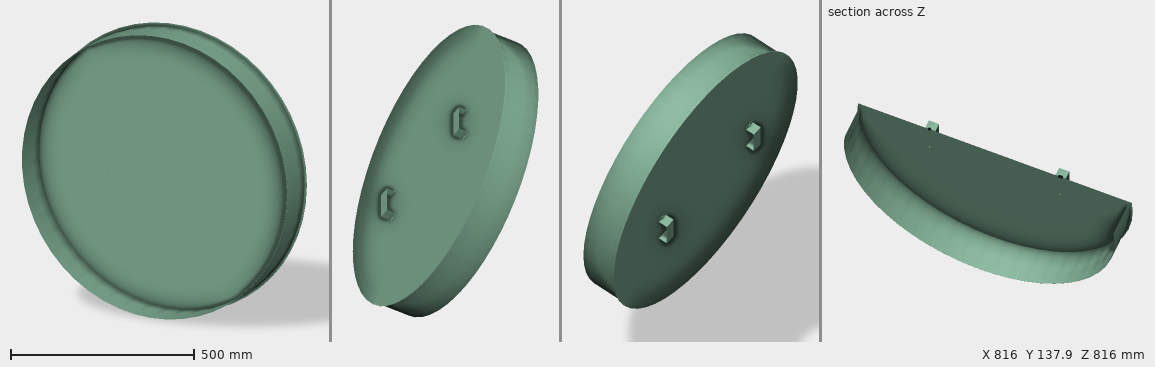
import cadquery as cq

sheet_thickness = 0.5

wall_outer_diameter = 802.0
wall_length = 108.0
flange_diameter = 811.0
flange_thickness = 1.4

cover_diameter = 816.0
lip_inner_diameter = 803.5

handle_spacing = 386.0
handle_width = 30.0
foot_length = 10.0
grip_length = 80.0
grip_clearance = 26.0
strap_thickness = 1.0
foot_corner_radius = 4.0

rivet_bore_diameter = 2.0
shank_diameter = 4.0
tail_diameter = 5.1
tail_height = 2.5
head_diameter = 8.0
head_height = 2.3

flange_front = -flange_thickness
lip_front = flange_front - sheet_thickness
wall_inner_diameter = wall_outer_diameter - 2 * sheet_thickness
shell_front = flange_front - wall_length
cover_rear = sheet_thickness
foot_rear = cover_rear + strap_thickness
grip_front = foot_rear + grip_clearance
grip_rear = grip_front + strap_thickness

handle_length = grip_length + 2 * foot_length
rivet_offset = (grip_length + foot_length) / 2
handle_places = (-handle_spacing / 2, handle_spacing / 2)
foot_places = (-rivet_offset, rivet_offset)


def cylinder(diameter, start, end, x=0, z=0):
    """Solid cylinder along Y between two Y positions."""
    base = cq.Workplane("XZ", origin=(x, start, z))
    return base.circle(diameter / 2).extrude(start - end)


def make_shell():
    """Open round wall with its flange, in one piece."""
    wall = cylinder(wall_outer_diameter, shell_front, 0)
    flange = cylinder(flange_diameter, flange_front, 0)
    bore = cylinder(wall_inner_diameter, shell_front, 0)
    return wall.union(flange).cut(bore)


def make_cover():
    """Disc and folded lip with a groove for the flange, and the rivet holes."""
    cover = cylinder(cover_diameter, lip_front, cover_rear)
    cover = cover.cut(cylinder(lip_inner_diameter, lip_front, 0))
    cover = cover.cut(cylinder(flange_diameter, flange_front, 0))
    for x in handle_places:
        for z in foot_places:
            cover = cover.cut(cylinder(shank_diameter, 0, cover_rear, x, z))
    return cover


def make_handle(x):
    """Strap bent into a U, its feet turned outward along Z."""
    foot_end = handle_length / 2
    leg_outside = grip_length / 2
    leg_inside = leg_outside - strap_thickness
    profile = (
        cq.Workplane("YZ", origin=(x - handle_width / 2, 0, 0))
        .moveTo(cover_rear, foot_end)
        .lineTo(foot_rear, foot_end)
        .lineTo(foot_rear, leg_outside)
        .lineTo(grip_rear, leg_outside)
        .lineTo(grip_rear, -leg_outside)
        .lineTo(foot_rear, -leg_outside)
        .lineTo(foot_rear, -foot_end)
        .lineTo(cover_rear, -foot_end)
        .lineTo(cover_rear, -leg_outside)
        .tangentArcPoint((foot_rear, -leg_inside), relative=False)
        .lineTo(grip_front, -leg_inside)
        .lineTo(grip_front, leg_inside)
        .lineTo(foot_rear, leg_inside)
        .tangentArcPoint((cover_rear, leg_outside), relative=False)
        .close()
    )
    handle = profile.extrude(handle_width)
    handle = handle.faces(">Z or <Z").edges("|Y").fillet(foot_corner_radius)
    for z in foot_places:
        handle = handle.cut(cylinder(shank_diameter, cover_rear, foot_rear, x, z))
    return handle


def make_rivet(x, z):
    """Tail in front of the cover, shank through cover and foot, head on the foot."""
    head_rear = foot_rear + head_height
    tail = cylinder(tail_diameter, -tail_height, 0, x, z)
    shank = cylinder(shank_diameter, 0, foot_rear, x, z)
    head = cylinder(head_diameter, foot_rear, head_rear, x, z)
    bore = cylinder(rivet_bore_diameter, -tail_height, head_rear, x, z)
    return tail.union(shank).union(head).cut(bore)


shell = make_shell()
cover = make_cover()
handles = [make_handle(x) for x in handle_places]
rivets = [make_rivet(x, z) for x in handle_places for z in foot_places]

bodies = [shell, cover, *handles, *rivets]
result = cq.Compound.makeCompound([body.val() for body in bodies])